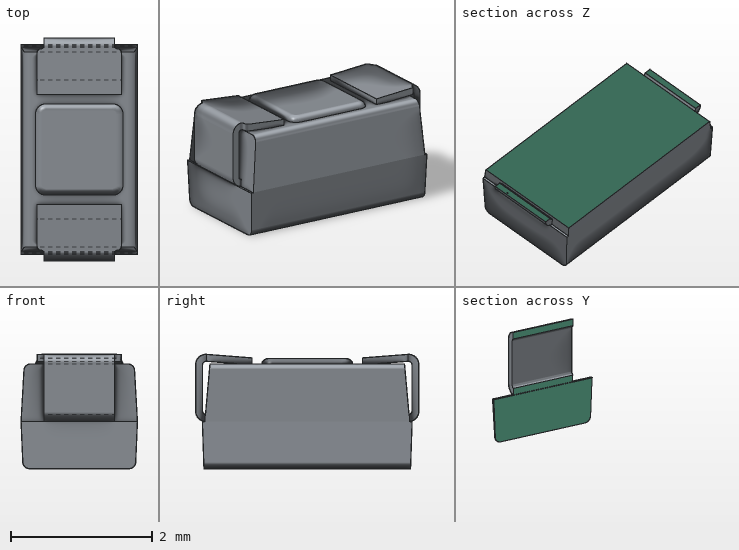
import cadquery as cq

body_width = 1.65
body_height = 1.485
parting_z = 0.667
top_width = 1.558
bottom_width = 1.593
body_edge_radius = 0.098
lower_length = 2.97
bottom_length = 2.925
upper_length = 2.9
top_length = 2.755

pad_width = 1.245
pad_length = 1.295
pad_height = 0.075
pad_corner_radius = 0.15
pad_edge_radius = 0.098
pad_depth = 0.19

overall_length = 3.16
overall_height = 1.62
sheet = 0.1
bend_radius = 0.15
neck_width = 1.0
tab_width = 1.19
shoulder_y = 1.422
shoulder_radius = 0.047
tab_tip_y = 0.78
tab_drop = 0.05
foot_end_y = 1.428


def make_body():
    """Cross-section along Y, trimmed by the stepped side outline along X."""
    section = (
        cq.Workplane("XZ")
        .polyline([
            (-bottom_width / 2, 0),
            (bottom_width / 2, 0),
            (body_width / 2, parting_z),
            (top_width / 2, body_height),
            (-top_width / 2, body_height),
            (-body_width / 2, parting_z),
        ])
        .close()
        .extrude(overall_length / 2, both=True)
        .edges("|Y and (<Z or >Z)")
        .fillet(body_edge_radius)
    )
    side = (
        cq.Workplane("YZ")
        .polyline([
            (-bottom_length / 2, 0),
            (bottom_length / 2, 0),
            (lower_length / 2, parting_z),
            (upper_length / 2, parting_z),
            (top_length / 2, body_height),
            (-top_length / 2, body_height),
            (-upper_length / 2, parting_z),
            (-lower_length / 2, parting_z),
        ])
        .close()
        .extrude(body_width, both=True)
    )
    return section.intersect(side)


def make_pad():
    """Rounded pad standing above the body top."""
    return (
        cq.Workplane("XY")
        .workplane(offset=body_height + pad_height - pad_depth)
        .rect(pad_width, pad_length)
        .extrude(pad_depth)
        .edges("|Z")
        .fillet(pad_corner_radius)
        .faces(">Z")
        .edges()
        .fillet(pad_edge_radius)
    )


def make_terminal():
    """Terminal at the +Y end: bent strip trimmed to its plan outline."""
    outer_y = overall_length / 2
    inner_y = outer_y - sheet
    bend_y = outer_y - bend_radius
    inner_radius = bend_radius - sheet
    upper_bend_z = overall_height - bend_radius
    lower_bend_z = parting_z + bend_radius
    tip_z = overall_height - tab_drop
    strip = (
        cq.Workplane("YZ")
        .moveTo(foot_end_y, parting_z)
        .lineTo(bend_y, parting_z)
        .radiusArc((outer_y, lower_bend_z), -bend_radius)
        .lineTo(outer_y, upper_bend_z)
        .radiusArc((bend_y, overall_height), -bend_radius)
        .lineTo(tab_tip_y, tip_z)
        .lineTo(tab_tip_y, tip_z - sheet)
        .lineTo(bend_y, overall_height - sheet)
        .radiusArc((inner_y, upper_bend_z), inner_radius)
        .lineTo(inner_y, lower_bend_z)
        .radiusArc((bend_y, parting_z + sheet), inner_radius)
        .lineTo(foot_end_y, parting_z + sheet)
        .close()
        .extrude(tab_width / 2, both=True)
    )
    tab_outline = (
        cq.Workplane("XY")
        .workplane(offset=body_height)
        .polyline([
            (-tab_width / 2, tab_tip_y),
            (tab_width / 2, tab_tip_y),
            (tab_width / 2, shoulder_y),
            (neck_width / 2, shoulder_y),
            (neck_width / 2, outer_y),
            (-neck_width / 2, outer_y),
            (-neck_width / 2, shoulder_y),
            (-tab_width / 2, shoulder_y),
        ])
        .close()
        .extrude(overall_height - body_height)
    )
    shoulder_corners = cq.selectors.BoxSelector(
        (-tab_width, shoulder_y - sheet, 0),
        (tab_width, shoulder_y + sheet, overall_height),
    )
    tab_outline = tab_outline.edges("|Z").edges(shoulder_corners).fillet(shoulder_radius)
    neck_outline = cq.Workplane("XY").rect(neck_width, overall_length).extrude(overall_height)
    return strip.intersect(tab_outline.union(neck_outline))


terminal = make_terminal()
result = make_body().union(make_pad()).union(terminal).union(terminal.mirror("XZ"))